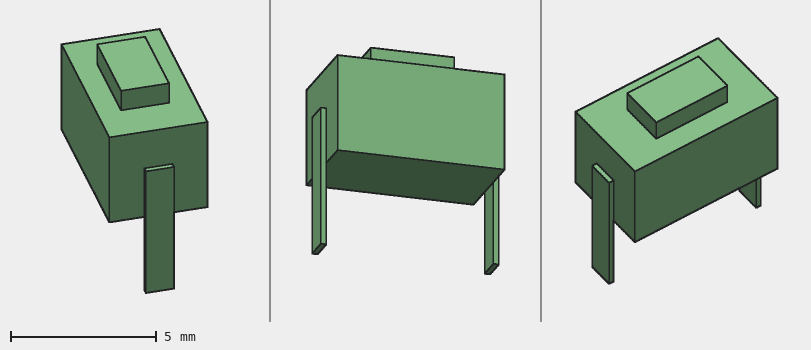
import cadquery as cq

overall_length = 6.4
overall_height = 7.3

housing_depth = 3.5
housing_height = 3.5

pin_thickness = 0.2
pin_width = 1.0
pin_height = 5.0
pin_drop = 3.0

button_length = 3.0
button_depth = 1.71
button_offset_y = -0.05

housing_length = overall_length - 2 * pin_thickness
button_height = overall_height - pin_drop - housing_height


def block(length, depth, height, x=0, y=0, bottom=0):
    """Box centred on (x, y) with its underside at the given height."""
    return cq.Workplane("XY").box(length, depth, height, centered=(True, True, False)).translate((x, y, bottom))


housing = block(housing_length, housing_depth, housing_height)
button = block(button_length, button_depth, button_height, y=button_offset_y, bottom=housing_height)
result = housing.union(button)

pin_center_x = (housing_length + pin_thickness) / 2
for side in (-1, 1):
    pin = block(pin_thickness, pin_width, pin_height, x=side * pin_center_x, bottom=-pin_drop)
    result = result.union(pin)